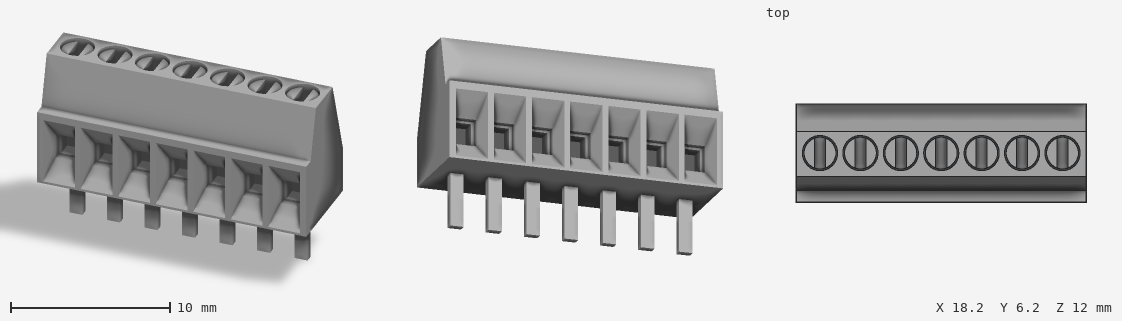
import cadquery as cq

length = 18.24
depth = 6.2
total_height = 12.0
pin_length = 3.5
height = total_height - pin_length
ledge_height = 5.1
ledge_depth = 0.75
top_front = 1.62
top_back = 4.45
back_wall_height = 3.1

pole_count = 7
end_offset = 1.5
pitch = (length - 2 * end_offset) / (pole_count - 1)
axis_y = 3.1

bore_diameter = 2.2
screw_diameter = 2.0
screw_sink = 0.2
slot_width = 0.7
slot_depth = 1.0
bore_depth = 2.0

mouth_width = 2.15
mouth_bottom = 0.16
mouth_top = 4.61
throat_width = 1.39
throat_bottom = 1.33
throat_top = 3.08
funnel_depth = 1.13
throat_depth = 0.47

wire_hole_width = 1.0
wire_hole_height = 1.45
wire_hole_depth = 1.0

pin_width = 0.9
pin_thickness = 0.53

pole_positions = [end_offset + i * pitch for i in range(pole_count)]


def make_housing():
    """Extrude the side profile along the length."""
    profile = [
        (0, 0),
        (depth, 0),
        (depth, back_wall_height),
        (top_back, height),
        (top_front, height),
        (ledge_depth, ledge_height),
        (0, ledge_height),
    ]
    return cq.Workplane("YZ").polyline(profile).close().extrude(length)


def make_bore(x):
    """Blind round bore in the top face."""
    floor = cq.Workplane("XY", origin=(x, axis_y, height - bore_depth))
    return floor.circle(bore_diameter / 2).extrude(bore_depth)


def make_screw(x):
    """Slotted screw standing on the bore floor, its head just below the top face."""
    screw_height = bore_depth - screw_sink
    floor = cq.Workplane("XY", origin=(x, axis_y, height - bore_depth))
    screw = floor.circle(screw_diameter / 2).extrude(screw_height)
    slot = (
        floor.workplane(offset=screw_height - slot_depth)
        .rect(slot_width, bore_diameter)
        .extrude(slot_depth)
    )
    return screw.cut(slot)


def make_wire_entry(x):
    """Funnel narrowing from the front face, then a straight throat and a smaller wire hole."""
    mouth_center = (mouth_bottom + mouth_top) / 2
    throat_center = (throat_bottom + throat_top) / 2
    front = cq.Workplane("XZ", origin=(x, 0, mouth_center))
    funnel = (
        front.rect(mouth_width, mouth_top - mouth_bottom)
        .workplane(offset=-funnel_depth)
        .center(0, throat_center - mouth_center)
        .rect(throat_width, throat_top - throat_bottom)
        .loft(ruled=True)
    )
    throat = (
        cq.Workplane("XZ", origin=(x, funnel_depth, throat_center))
        .rect(throat_width, throat_top - throat_bottom)
        .extrude(-throat_depth)
    )
    wire_hole = (
        cq.Workplane("XZ", origin=(x, funnel_depth + throat_depth, throat_center))
        .rect(wire_hole_width, wire_hole_height)
        .extrude(-wire_hole_depth)
    )
    return funnel.union(throat).union(wire_hole)


def make_pin(x):
    """Rectangular solder pin below the housing."""
    underside = cq.Workplane("XY", origin=(x, axis_y, 0))
    return underside.rect(pin_width, pin_thickness).extrude(-pin_length)


result = make_housing()
for pole_x in pole_positions:
    result = result.cut(make_bore(pole_x)).cut(make_wire_entry(pole_x))
    result = result.union(make_screw(pole_x)).union(make_pin(pole_x))